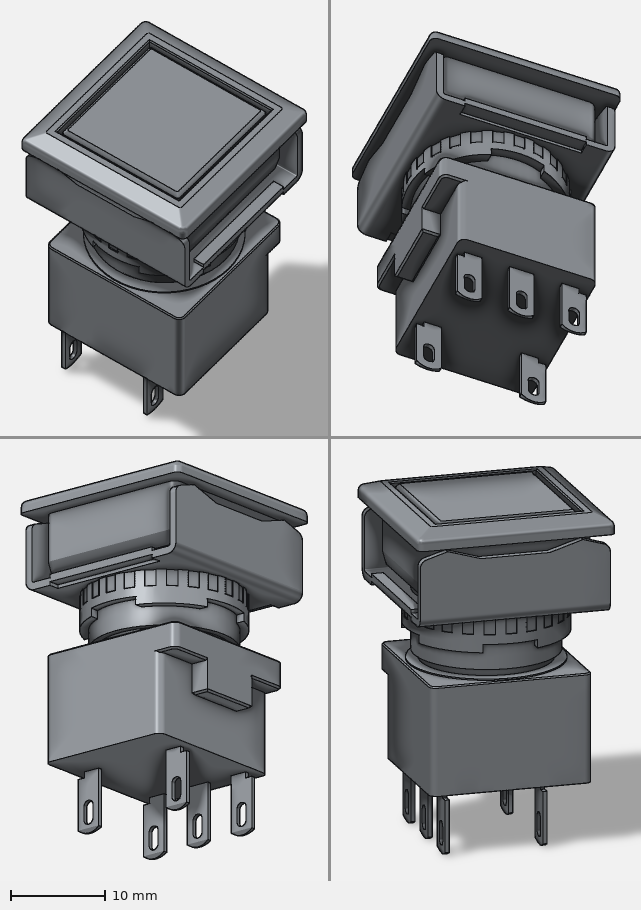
import cadquery as cq
import math


BEZEL_HALF = 11.0
BEZEL_EDGE_HEIGHT = 1.2
BEZEL_TOP_HALF = 9.0
BEZEL_TOP = 2.05
BEZEL_EDGE_RADIUS = 0.7

RECESS_HALF = 8.1
RECESS_DEPTH = 1.33
RECESS_CHAMFER = 0.15
LENS_HALF = 7.8
LENS_CHAMFER = 0.45
LENS_CORNER_RADIUS = 0.22

BODY_HALF = 9.0
BODY_CORNER_RADIUS = 0.95
BODY_STRAIGHT_HEIGHT = 5.42
BODY_BOTTOM = -6.95
BODY_BOTTOM_HALF = 8.6
BARREL_RADIUS = 8.05
BARREL_BOTTOM = -14.72
NECK_RADIUS = 7.27

BLOCK_TOP = -15.75
BLOCK_BOTTOM = -27.9
BLOCK_HALF = BODY_HALF
BLOCK_CORNER_RADIUS = 0.8
BLOCK_CHAMFER = 0.15
BLOCK_LOWER_BACK = 6.85
OVERHANG_BOTTOM = -18.82
OVERHANG_CHAMFER = 0.22
NECK_RING_RADIUS = 8.6
NECK_RING_DEPTH = 0.15
HOOK_WIDTH = 7.38
HOOK_BOTTOM = -22.3

TERMINAL_TIP = BEZEL_TOP - 36.9
TERMINAL_WIDTH = 2.85
TERMINAL_THICKNESS = 0.48
TERMINAL_PITCH = 6.05
TERMINAL_MIDDLE_Y = -1.0
CONTACT_ROW_X = -7.0
LAMP_ROW_X = 3.87
TERMINAL_NOTCH_WIDTH = 0.85
TERMINAL_NOTCH_HEIGHT = 0.65
TERMINAL_TIP_HEIGHT = 0.48
TERMINAL_TIP_CHAMFER = 0.1
EYE_WIDTH = 1.2
EYE_LENGTH = 2.7
EYE_HEIGHT = 2.3

NUT_RADIUS = 9.0
NUT_TOP = -8.8
NUT_BOTTOM = -12.6
NUT_NOTCH_HEIGHT = 0.92
NUT_NOTCH_WIDTH = 6.1
NUT_NOTCH_COUNT = 4
GROOVE_COUNT = 24
GROOVE_WIDTH = 1.2
GROOVE_LENGTH = 1.8
GROOVE_FLOOR_RADIUS = 8.85

CLIP_HALF_X = 10.6
CLIP_HALF_Y = 10.35
CLIP_THICKNESS = 0.85
CLIP_BEND_RADIUS = 1.1
CLIP_PEAK_Z = -0.45
CLIP_PEAK_X = 7.53
CLIP_VALLEY_Z = -1.55
CLIP_VALLEY_HALF = 3.85
CLIP_CORNER_RADIUS = 0.95
CLIP_STEP_HEIGHT = 0.4
CLIP_STEP_LENGTH = 14.02
CLIP_STEP_WIDTH = 1.33


def block_between(x_range, y_range, z_range):
    """A box given by its limits along each axis."""
    size = [high - low for low, high in (x_range, y_range, z_range)]
    corner = (x_range[0], y_range[0], z_range[0])
    return cq.Workplane("XY").box(*size, centered=False).translate(corner)


def square_prism(half, bottom, top):
    """A square prism centred on the Z axis."""
    return block_between((-half, half), (-half, half), (bottom, top))


def cylinder(radius, bottom, top):
    """A cylinder on the Z axis."""
    return cq.Workplane("XY").workplane(offset=bottom).circle(radius).extrude(top - bottom)


def square_section(half_profile):
    """A ridge along Y, symmetric in X, whose right side follows a (half width, Z) profile."""
    mirrored = [(-half, z) for half, z in reversed(half_profile)]
    reach = max(half for half, _ in half_profile)
    return cq.Workplane("XZ").polyline(half_profile + mirrored).close().extrude(reach, both=True)


def mitred_square(ridge):
    """A square solid whose four sides all have the section of the ridge."""
    return ridge.intersect(ridge.rotate((0, 0, 0), (0, 0, 1), 90))


def corner_edges(solid):
    """The edges of a mitred square that lie on its diagonals."""
    def on_diagonal(edge):
        centre = edge.Center()
        return abs(abs(centre.x) - abs(centre.y)) < 0.005 and abs(centre.x) > 0.37
    return solid.edges().filter(on_diagonal)


def make_bezel():
    ridge = square_section([
        (BEZEL_HALF, 0),
        (BEZEL_HALF, BEZEL_EDGE_HEIGHT),
        (BEZEL_TOP_HALF, BEZEL_TOP),
    ])
    bezel = mitred_square(ridge)
    rim = cq.selectors.BoxSelector(
        (-2 * BEZEL_HALF, -2 * BEZEL_HALF, BEZEL_EDGE_HEIGHT - 0.05),
        (2 * BEZEL_HALF, 2 * BEZEL_HALF, BEZEL_EDGE_HEIGHT + 0.05))
    bezel = corner_edges(bezel).add(bezel.edges(rim)).fillet(BEZEL_EDGE_RADIUS)
    recess = square_prism(RECESS_HALF, BEZEL_TOP - RECESS_DEPTH, BEZEL_TOP)
    mouth = mitred_square(square_section([
        (RECESS_HALF, BEZEL_TOP - RECESS_CHAMFER),
        (RECESS_HALF + RECESS_CHAMFER, BEZEL_TOP),
    ]))
    return bezel.cut(recess).cut(mouth)


def make_square_body():
    taper_height = -BODY_STRAIGHT_HEIGHT - BODY_BOTTOM
    taper_angle = math.degrees(math.atan((BODY_HALF - BODY_BOTTOM_HALF) / taper_height))
    straight = square_prism(BODY_HALF, -BODY_STRAIGHT_HEIGHT, 0).edges("|Z").fillet(BODY_CORNER_RADIUS)
    return straight.faces("<Z").wires().toPending().extrude(-taper_height, taper=taper_angle)


def rounded_block(y_range, z_range):
    """A box as wide as the contact block with its upright edges rounded."""
    return block_between((-BLOCK_HALF, BLOCK_HALF), y_range, z_range).edges("|Z").fillet(BLOCK_CORNER_RADIUS)


def make_contact_block():
    upper = rounded_block((-BLOCK_HALF, BLOCK_HALF), (OVERHANG_BOTTOM, BLOCK_TOP))
    upper = upper.faces(">Z").chamfer(BLOCK_CHAMFER)
    upper = upper.faces("<Z").chamfer(OVERHANG_CHAMFER)
    lower = rounded_block((-BLOCK_HALF, BLOCK_LOWER_BACK), (BLOCK_BOTTOM, BLOCK_TOP - BLOCK_CHAMFER))
    block = upper.union(lower)
    block = block.union(cylinder(NECK_RING_RADIUS, BLOCK_TOP, BLOCK_TOP + NECK_RING_DEPTH))
    hook = block_between(
        (-HOOK_WIDTH / 2, HOOK_WIDTH / 2), (BLOCK_LOWER_BACK, BLOCK_HALF),
        (HOOK_BOTTOM, OVERHANG_BOTTOM + OVERHANG_CHAMFER))
    hook = hook.faces("<Z").chamfer(OVERHANG_CHAMFER)
    return block.union(hook)


def make_terminal(x, y, notch_side):
    """A flat terminal; notch_side is the sign of the Y side that is notched, or 0 for none."""
    half_width = TERMINAL_WIDTH / 2
    blade = block_between(
        (-TERMINAL_THICKNESS / 2, TERMINAL_THICKNESS / 2), (-half_width, half_width),
        (TERMINAL_TIP, BLOCK_BOTTOM))
    blade = blade.faces("<Z").edges("|Y").chamfer(TERMINAL_TIP_HEIGHT, TERMINAL_TIP_CHAMFER)
    tip = (
        cq.Workplane("YZ")
        .moveTo(-half_width, BLOCK_BOTTOM)
        .lineTo(-half_width, TERMINAL_TIP + TERMINAL_TIP_HEIGHT)
        .threePointArc((0, TERMINAL_TIP), (half_width, TERMINAL_TIP + TERMINAL_TIP_HEIGHT))
        .lineTo(half_width, BLOCK_BOTTOM)
        .close()
        .extrude(TERMINAL_THICKNESS, both=True)
    )
    blade = blade.intersect(tip)
    eye = (
        cq.Workplane("YZ").center(0, TERMINAL_TIP + EYE_HEIGHT)
        .slot2D(EYE_LENGTH, EYE_WIDTH, 90).extrude(TERMINAL_THICKNESS, both=True)
    )
    blade = blade.cut(eye)
    if notch_side:
        notch = block_between(
            (-TERMINAL_THICKNESS, TERMINAL_THICKNESS),
            (half_width - TERMINAL_NOTCH_WIDTH, half_width),
            (BLOCK_BOTTOM - TERMINAL_NOTCH_HEIGHT, BLOCK_BOTTOM))
        if notch_side < 0:
            notch = notch.mirror("XZ")
        blade = blade.cut(notch)
    return blade.translate((x, y, 0))


def make_housing():
    """Bezel, square body, barrel, contact block and terminals in one piece."""
    housing = make_bezel().union(make_square_body())
    housing = housing.union(cylinder(BARREL_RADIUS, BARREL_BOTTOM, BODY_BOTTOM))
    housing = housing.union(make_contact_block())
    housing = housing.union(cylinder(NECK_RADIUS, BLOCK_TOP - NECK_RING_DEPTH, BARREL_BOTTOM))
    for row_x, sides in ((CONTACT_ROW_X, (-1, 0, 1)), (LAMP_ROW_X, (-1, 1))):
        for side in sides:
            y = TERMINAL_MIDDLE_Y + side * TERMINAL_PITCH
            housing = housing.union(make_terminal(row_x, y, side))
    return housing


def make_lens():
    """The lit button face, flush with the bezel and standing clear of the recess walls."""
    lens = mitred_square(square_section([
        (LENS_HALF, BEZEL_TOP - RECESS_DEPTH),
        (LENS_HALF, BEZEL_TOP - LENS_CHAMFER),
        (LENS_HALF - LENS_CHAMFER, BEZEL_TOP),
    ]))
    return corner_edges(lens).fillet(LENS_CORNER_RADIUS)


def make_nut():
    """The ring nut on the barrel, grooved around its rim and notched at its lower edge."""
    nut = cylinder(NUT_RADIUS, NUT_BOTTOM, NUT_TOP)
    groove = block_between(
        (GROOVE_FLOOR_RADIUS, NUT_RADIUS + 0.37), (-GROOVE_WIDTH / 2, GROOVE_WIDTH / 2),
        (NUT_TOP - GROOVE_LENGTH, NUT_TOP))
    for i in range(GROOVE_COUNT):
        nut = nut.cut(groove.rotate((0, 0, 0), (0, 0, 1), i * 360 / GROOVE_COUNT))
    notch = block_between(
        (0, NUT_RADIUS), (-NUT_NOTCH_WIDTH / 2, NUT_NOTCH_WIDTH / 2),
        (NUT_BOTTOM, NUT_BOTTOM + NUT_NOTCH_HEIGHT))
    for i in range(NUT_NOTCH_COUNT):
        nut = nut.cut(notch.rotate((0, 0, 0), (0, 0, 1), i * 360 / NUT_NOTCH_COUNT))
    return nut.cut(cylinder(BARREL_RADIUS, NUT_BOTTOM, NUT_TOP))


def clip_front_outline():
    """The clip's outline across X, with its two peaks and the valley between them."""
    slope = (CLIP_PEAK_Z - CLIP_VALLEY_Z) / (CLIP_PEAK_X - CLIP_VALLEY_HALF)
    shoulder_z = CLIP_PEAK_Z - slope * (CLIP_HALF_X - CLIP_PEAK_X)
    right = [
        (CLIP_HALF_X, NUT_TOP),
        (CLIP_HALF_X, shoulder_z),
        (CLIP_PEAK_X, CLIP_PEAK_Z),
        (CLIP_VALLEY_HALF, CLIP_VALLEY_Z),
    ]
    left = [(-x, z) for x, z in reversed(right)]
    sheet = cq.Workplane("XZ").polyline(right + left).close().extrude(CLIP_HALF_Y, both=True)
    shoulder = cq.selectors.BoxSelector(
        (-2 * CLIP_HALF_X, -0.37, shoulder_z - 0.05), (2 * CLIP_HALF_X, 0.37, shoulder_z + 0.05))
    return sheet.edges("|Y").edges(shoulder).fillet(CLIP_CORNER_RADIUS)


def make_clip():
    """The U-shaped mounting clip held between the square body and the nut."""
    floor_z = NUT_TOP + CLIP_THICKNESS
    inner_half_y = CLIP_HALF_Y - CLIP_THICKNESS
    channel = block_between((-CLIP_HALF_X, CLIP_HALF_X), (-CLIP_HALF_Y, CLIP_HALF_Y), (NUT_TOP, 0))
    channel = channel.faces("<Z").edges("|X").fillet(CLIP_BEND_RADIUS)
    hollow = block_between((-CLIP_HALF_X, CLIP_HALF_X), (-inner_half_y, inner_half_y), (floor_z, 0))
    hollow = hollow.faces("<Z").edges("|X").fillet(CLIP_BEND_RADIUS - CLIP_THICKNESS)
    clip = channel.cut(hollow).intersect(clip_front_outline())

    step_y = (-CLIP_STEP_LENGTH / 2, CLIP_STEP_LENGTH / 2)
    step_x = (CLIP_HALF_X - CLIP_STEP_WIDTH, CLIP_HALF_X)
    rise = block_between(step_x, step_y, (floor_z, floor_z + CLIP_STEP_HEIGHT))
    relief = block_between(step_x, step_y, (NUT_TOP, NUT_TOP + CLIP_STEP_HEIGHT))
    for angle in (0, 180):
        clip = clip.union(rise.rotate((0, 0, 0), (0, 0, 1), angle))
        clip = clip.cut(relief.rotate((0, 0, 0), (0, 0, 1), angle))
    return clip.cut(cylinder(BARREL_RADIUS, NUT_TOP, floor_z))


housing = make_housing()
lens = make_lens()
nut = make_nut()
clip = make_clip()

result = cq.Compound.makeCompound([housing.val(), lens.val(), nut.val(), clip.val()])